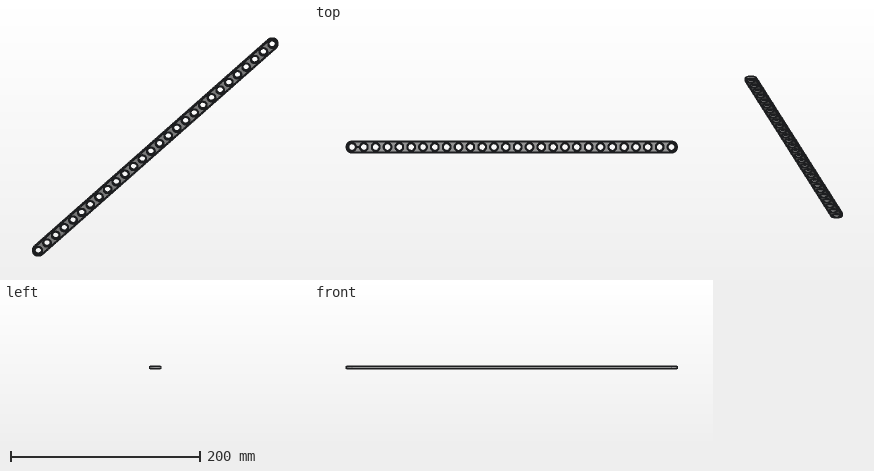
import cadquery as cq

hole_count = 28
pitch = 12.5
thickness = 3.12
hole_diameter = 7.0
border = 1.1
panel_height = 0.28
groove_width = 1.0

width = pitch
length = hole_count * pitch
first_hole_x = -(hole_count - 1) * pitch / 2
plate_thickness = thickness - 2 * panel_height
plate_top = thickness - panel_height
ring_diameter = hole_diameter + 2 * border


def cylinders(diameter):
    """Full-height cylinders at every hole position."""
    return (
        cq.Workplane("XY")
        .rarray(pitch, width, hole_count, 1)
        .circle(diameter / 2)
        .extrude(thickness)
    )


def plate():
    """Round-ended plate at mid-thickness, carrying the panels on both faces."""
    return (
        cq.Workplane("XY", origin=(0, 0, panel_height))
        .slot2D(length, width)
        .extrude(plate_thickness)
    )


def panels():
    """Raised panels, set in from the outline and cleared around each hole."""
    strip = (
        cq.Workplane("XY")
        .slot2D(length - 2 * border, width - 2 * border)
        .extrude(thickness)
    )
    return strip.cut(cylinders(ring_diameter))


def end_groove():
    """Lengthwise groove that splits the top panel between the first two holes."""
    return (
        cq.Workplane("XY", origin=(first_hole_x + pitch / 2, 0, plate_top))
        .rect(pitch - hole_diameter, groove_width)
        .extrude(panel_height)
    )


body = plate().union(panels())
body = body.cut(end_groove())
result = body.cut(cylinders(hole_diameter))